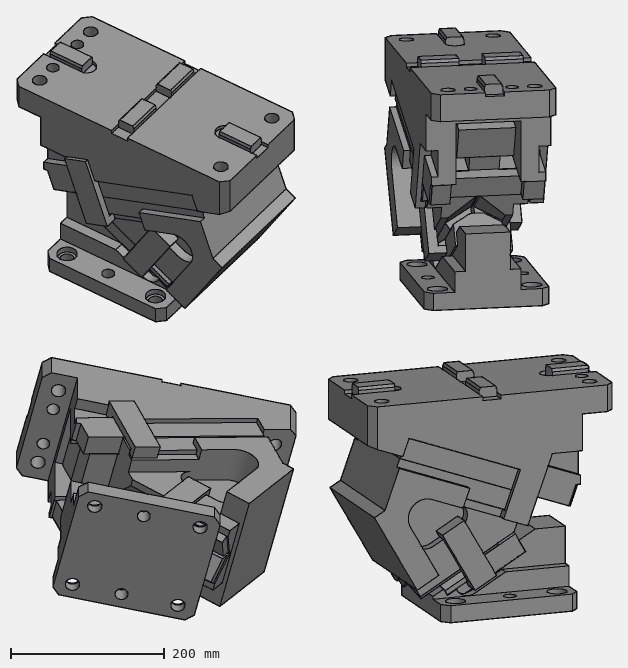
import cadquery as cq
import math


LARGE = 680.0

half_width = 82.5
corner_chamfer = 10.2
holder_angle = math.radians(20)
rail_angle = math.radians(30)

holder_length = 340.0
holder_top = 300.2
holder_lip_bottom = 264.2
holder_web_x = 45.0
holder_foot_z = 168.0
holder_foot_u = 102.7
holder_nose_v = 115.3
guide_v = 111.0
slide_end_u = 355.0
end_gap = 0.7

flange_half = 75.8
flange_top_v = 140.5
back_foot_half = 73.8
foot_step_length = 2.7
window_half = 67.0
window_top_z = 215.0
window_bottom_v = 153.7
channel_half = 48.5
channel_clearance = 1.0
cavity_half = 43.0
cavity_top = 249.5

strap_u = 155.0
strap_end_u = 190.7
strap_bottom_v = 72.0
strap_hook_v = 82.3
strap_top_v = 174.0
strap_hook_half = 69.5
front_strap_half = 87.5
front_strap_wall_half = 77.5
back_strap_half = half_width
back_strap_wall_half = flange_half

key_slot_width = 25.0
key_slot_depth = 5.0
key_slot_length = 72.8
key_height = 9.0
key_length = 50.3
key_inset = 10.2
key_clearance = 0.5
key_bevel_width = 1.7
key_bevel_height = 4.0
cross_slot_x = 170.7
cross_key_y = 42.5
holder_hole_inset = 25.5
holder_hole_y = 57.5
holder_hole_diameter = 18.7
dowel_y = 27.5
dowel_diameter = 16.3

slide_flange_half = 73.8
slide_flange_bottom_v = 83.0
slide_shoulder_half = window_half
slide_shoulder_v = 71.5
slide_core_half = 47.5
cheek_top_v = 99.0
cheek_start_u = 250.5
cheek_inner_p = 179.2
cheek_outer_p = 214.0
cheek_bottom_q = 179.2
cheek_top_q = 298.2
cheek_radius = 24.5
core_end_p = 208.0
core_bottom_q = 154.0
pocket_bottom_q = 202.3
pocket_depth = 13.5
pocket_left_radius = 18.0
pocket_low_radius = 20.0
tongue_u = 115.3
tongue_top_v = 141.8
tongue_bottom_v = 113.0
ridge_drop = 1.0
lug_u = 132.0
lug_end_u = 161.5
lug_half = 37.7
lug_bottom_v = 163.0
lug_top_v = 206.5
lug_neck_u = 133.5
lug_neck_half = 20.0
vee_half = 37.7
relief_half = 2.0
relief_depth = 2.7
liner_start_p = 81.5
liner_end_p = 206.0
liner_thickness = 11.2

rail_strap_p = 108.8
rail_strap_end_p = 143.5
rail_strap_bottom_q = 121.7
rail_strap_hook_q = 132.0
rail_strap_top_q = 212.0
front_rail_strap_half = 53.0
back_rail_strap_half = 58.0
rail_strap_wall_half = 45.0
rail_strap_hook_half = 34.0

base_left = 49.0
base_right = 238.5
base_thickness = 23.0
step_half = 44.0
step_top = 50.5
post_half = 29.5
post_top = 100.5
post_flat_end = 90.8
rail_half = 32.3
rail_start_p = 54.7
rail_bottom_q = 115.0
rail_ridge_half = 9.0
rail_flange_half = 42.0
rail_flange_start_p = 120.7
rail_end_p = 175.5
tail_top_q = 142.5
step_pocket_q = 112.5
step_pocket_end_p = 161.0
step_pocket_radius = 18.0
base_bolt_x = (72.8, 214.0)
base_dowel_x = 138.5
base_hole_y = 62.5
base_bolt_diameter = 18.5
counterbore_diameter = 26.2
counterbore_depth = 8.5
base_dowel_diameter = 16.5

holder_mid = holder_length / 2
vee_slope = math.tan(rail_angle)
vee_apex_q = core_bottom_q + vee_half * vee_slope
roof_apex_q = vee_apex_q - liner_thickness / math.cos(rail_angle)


def guide(u, v):
    """X, Z of a point u along and v above the inclined holder guide."""
    c, s = math.cos(holder_angle), math.sin(holder_angle)
    return (u * c - v * s, u * s + v * c)


def guide_at_height(u, z):
    """X, Z where the guide section at u reaches height z."""
    return ((u - z * math.sin(holder_angle)) / math.cos(holder_angle), z)


def rail(p, q):
    """X, Z of a point p along and q above the inclined base rail."""
    c, s = math.cos(rail_angle), math.sin(rail_angle)
    return (p * c + q * s, -p * s + q * c)


def guide_rail(v, q):
    """X, Z where the guide line at height v crosses the rail line at height q."""
    turn = holder_angle + rail_angle
    return guide((q - v * math.cos(turn)) / math.sin(turn), v)


def guide_rail_end(v, p):
    """X, Z where the guide line at height v crosses the rail section at p."""
    turn = holder_angle + rail_angle
    return guide((p + v * math.sin(turn)) / math.cos(turn), v)


def end_guide_rail(u, q):
    """X, Z where the guide section at u crosses the rail line at height q."""
    turn = holder_angle + rail_angle
    return guide(u, (q - u * math.sin(turn)) / math.cos(turn))


def prism(points, y_from, y_to):
    """An X-Z outline extruded from y_from to y_to."""
    return cq.Workplane("XZ", origin=(0, y_from, 0)).polyline(points).close().extrude(y_from - y_to)


def centred_prism(points, half):
    return prism(points, -half, half)


def both_sides(points, inner, outer):
    """The outline extruded from inner to outer on both sides of Y = 0."""
    return prism(points, inner, outer).union(prism(points, -outer, -inner))


def guide_box(u_from, u_to, v_from, v_to):
    return [guide(u_from, v_from), guide(u_to, v_from), guide(u_to, v_to), guide(u_from, v_to)]


def rail_box(p_from, p_to, q_from, q_to):
    return [rail(p_from, q_from), rail(p_to, q_from), rail(p_to, q_to), rail(p_from, q_to)]


def rail_section(points, p_from, p_to):
    """A Y-q cross-section extruded along the base rail."""
    x, z = rail(p_from, 0)
    direction = (math.cos(rail_angle), 0, -math.sin(rail_angle))
    plane = cq.Plane(origin=(x, 0, z), xDir=(0, 1, 0), normal=direction)
    return cq.Workplane(plane).polyline(points).close().extrude(p_to - p_from)


def mirrored_points(points):
    """A right-hand half profile completed with its mirror image."""
    return points + [(-y, q) for y, q in reversed(points)]


def vertical_hole(x, y, diameter, z_from, z_to):
    return cq.Workplane("XY", origin=(x, y, z_from)).circle(diameter / 2).extrude(z_to - z_from)


def holder_blank():
    nose_right_z = (holder_nose_v + holder_length * math.sin(holder_angle)) / math.cos(holder_angle)
    end_u = slide_end_u + end_gap
    outline = [
        (0, holder_top), (0, holder_lip_bottom),
        (holder_web_x, holder_lip_bottom), (holder_web_x, holder_foot_z),
        guide_at_height(holder_foot_u, holder_foot_z), guide(holder_foot_u, guide_v),
        guide(end_u, guide_v), guide(end_u, holder_nose_v),
        (holder_length, nose_right_z), (holder_length, holder_top),
    ]
    blank = centred_prism(outline, half_width)
    plan = (
        cq.Workplane("XY").rect(holder_length, 2 * half_width).extrude(LARGE)
        .edges("|Z").chamfer(corner_chamfer).translate((holder_mid, 0, 0))
    )
    return blank.intersect(plan)


def holder_side_recesses():
    end_u = slide_end_u + end_gap
    flange = both_sides(guide_box(0, end_u, 0, flange_top_v), flange_half, LARGE)
    flange = flange.union(
        both_sides(guide_box(0, strap_end_u, 0, window_bottom_v), flange_half, LARGE))
    window = both_sides(guide_box(0, strap_end_u, window_bottom_v, LARGE), window_half, LARGE)
    below_ceiling = cq.Workplane("XY").box(LARGE, 3 * LARGE, window_top_z, centered=(True, True, False))
    return flange.union(window.intersect(below_ceiling))


def holder_foot_steps():
    """End cuts that shorten the front foot and narrow the end of the back foot."""
    step_end_u = holder_foot_u + foot_step_length
    outline = [
        guide(holder_foot_u, guide_v), guide(step_end_u, guide_v),
        guide_at_height(step_end_u, holder_foot_z), guide_at_height(holder_foot_u, holder_foot_z),
    ]
    return prism(outline, -LARGE, 0).union(prism(outline, back_foot_half, LARGE))


def holder_channel():
    end_u = slide_end_u + end_gap
    return centred_prism(guide_box(0, end_u, 0, tongue_top_v + channel_clearance), channel_half)


def holder_cavity():
    """Wedge-shaped cavity with a level ceiling, open to the left and to the channel."""
    cavity = centred_prism(guide_box(0, slide_end_u + end_gap, 0, LARGE), cavity_half)
    room = cq.Workplane("XY").box(LARGE, LARGE, cavity_top, centered=(False, True, False))
    return cavity.intersect(room.translate((holder_web_x, 0, 0)))


def holder_strap(side, wall_inner, outer):
    """A strap with its root in the holder window and its hook under the slide flange."""
    strap = None
    for v_from, v_to, inner in (
        (strap_bottom_v, strap_hook_v, strap_hook_half),
        (strap_hook_v, window_bottom_v, wall_inner),
        (window_bottom_v, strap_top_v, window_half),
    ):
        y_from, y_to = sorted((side * inner, side * outer))
        piece = prism(guide_box(strap_u, strap_end_u, v_from, v_to), y_from, y_to)
        strap = piece if strap is None else strap.union(piece)
    return strap


def key(length):
    """A key along X, centred on the origin, standing on Z = 0 with a bevelled top."""
    half = key_slot_width / 2 - key_clearance
    height = key_slot_depth + key_height
    profile = [
        (-half, 0), (half, 0), (half, height - key_bevel_height), (half - key_bevel_width, height),
        (key_bevel_width - half, height), (-half, height - key_bevel_height),
    ]
    return cq.Workplane("YZ", origin=(-length / 2, 0, 0)).polyline(profile).close().extrude(length)


def holder_key_slots():
    z = holder_top - key_slot_depth
    slots = cq.Workplane("XY", origin=(cross_slot_x, 0, z)).rect(key_slot_width, LARGE).extrude(LARGE)
    for end_x in (0, holder_length):
        slots = slots.union(
            cq.Workplane("XY", origin=(end_x, 0, z)).slot2D(2 * key_slot_length, key_slot_width).extrude(LARGE))
    return slots


def holder_keys():
    z = holder_top - key_slot_depth
    end_key_x = key_inset + key_length / 2
    bar = key(key_length)
    cross_bar = bar.rotate((0, 0, 0), (0, 0, 1), 90)
    return [
        bar.translate((end_key_x, 0, z)),
        bar.translate((holder_length - end_key_x, 0, z)),
        cross_bar.translate((cross_slot_x, -cross_key_y, z)),
        cross_bar.translate((cross_slot_x, cross_key_y, z)),
    ]


def make_holder():
    body = holder_blank().cut(holder_side_recesses()).cut(holder_foot_steps())
    body = body.cut(holder_channel()).cut(holder_cavity()).cut(holder_key_slots())
    for side in (-1, 1):
        for x in (holder_hole_inset, holder_length - holder_hole_inset):
            body = body.cut(vertical_hole(x, side * holder_hole_y, holder_hole_diameter, 0, LARGE))
        body = body.cut(vertical_hole(holder_hole_inset, side * dowel_y, dowel_diameter, 0, LARGE))
    for bar in holder_keys():
        body = body.union(bar)
    body = body.union(holder_strap(-1, front_strap_wall_half, front_strap_half))
    return body.union(holder_strap(1, back_strap_wall_half, back_strap_half))


def slide_outline(top_v, start_u, bottom):
    """Slide outline below top_v; bottom lists its lower points from right to left."""
    step_v = (cheek_top_q - slide_end_u * math.sin(holder_angle + rail_angle)) / math.cos(
        holder_angle + rail_angle)
    return [guide(start_u, top_v), guide(slide_end_u, top_v), guide(slide_end_u, step_v)] + bottom


def slide_core():
    core = slide_outline(guide_v, strap_u, [
        rail(core_end_p, cheek_top_q), rail(core_end_p, core_bottom_q),
        end_guide_rail(strap_u, core_bottom_q),
    ])
    return centred_prism(core, slide_core_half)


def slide_flanges():
    flange = guide_box(strap_u, slide_end_u, slide_flange_bottom_v, guide_v)
    shoulder = guide_box(strap_u, slide_end_u, slide_shoulder_v, slide_flange_bottom_v)
    return centred_prism(flange, slide_flange_half).union(centred_prism(shoulder, slide_shoulder_half))


def slide_cheeks():
    """The wide hooked end of the slide, with a rounded inner corner."""
    outline = slide_outline(cheek_top_v, cheek_start_u, [
        rail(cheek_outer_p, cheek_top_q), rail(cheek_outer_p, cheek_bottom_q),
        rail(cheek_inner_p, cheek_bottom_q), guide_rail_end(slide_shoulder_v, cheek_inner_p),
        guide(cheek_start_u, slide_shoulder_v),
    ])
    inner_corner = guide_rail_end(slide_shoulder_v, cheek_inner_p)
    return centred_prism(outline, half_width).edges(
        cq.selectors.NearestToPointSelector((inner_corner[0], 0, inner_corner[1]))
    ).fillet(cheek_radius)


def slide_pocket(side):
    """A shallow three-cornered pocket with rounded corners in one side of the core."""
    left = guide_rail(slide_shoulder_v, pocket_bottom_q)
    top = guide_rail_end(slide_shoulder_v, cheek_inner_p)
    low = rail(cheek_inner_p, pocket_bottom_q)
    y_from, y_to = sorted((side * (slide_core_half - pocket_depth), side * slide_core_half))
    pocket = prism([left, low, top], y_from, y_to)
    for corner, radius in ((left, pocket_left_radius), (low, pocket_low_radius), (top, cheek_radius)):
        pocket = pocket.edges(
            cq.selectors.NearestToPointSelector((corner[0], (y_from + y_to) / 2, corner[1]))
        ).fillet(radius)
    return pocket


def slide_tongue():
    """Ridge in the holder channel that overhangs the left end of the slide."""
    overhang = guide_box(tongue_u, strap_u, tongue_bottom_v, tongue_top_v - ridge_drop)
    lip = guide_box(tongue_u, lug_neck_u, tongue_bottom_v, tongue_top_v)
    ridge = guide_box(strap_u, slide_end_u, guide_v, tongue_top_v - ridge_drop)
    tongue = centred_prism(overhang, slide_core_half).union(centred_prism(lip, slide_core_half))
    return tongue.union(centred_prism(ridge, slide_core_half))


def slide_lug():
    """T-shaped lug that stands on the ridge inside the holder cavity."""
    neck = guide_box(lug_neck_u, lug_end_u, tongue_bottom_v, lug_bottom_v)
    head = guide_box(lug_u, lug_end_u, lug_bottom_v, lug_top_v)
    return centred_prism(neck, lug_neck_half).union(centred_prism(head, lug_half))


def slide_vee():
    """Roof-shaped groove in the underside, with a relief slot at its apex."""
    vee = [(-vee_half, core_bottom_q), (0, vee_apex_q), (vee_half, core_bottom_q)]
    relief_top = vee_apex_q + relief_depth
    relief = mirrored_points([(relief_half, core_bottom_q), (relief_half, relief_top)])
    return rail_section(vee, -LARGE, LARGE).union(rail_section(relief, -LARGE, LARGE))


def slide_liner(side):
    """Wear liner on one flank of the vee."""
    tip_y = vee_half - liner_thickness * math.sin(rail_angle)
    profile = [
        (relief_half, vee_apex_q - relief_half * vee_slope),
        (vee_half, core_bottom_q),
        (tip_y, roof_apex_q - tip_y * vee_slope),
        (relief_half, roof_apex_q - relief_half * vee_slope),
    ]
    return rail_section([(side * y, q) for y, q in profile], liner_start_p, liner_end_p)


def slide_strap(side, outer):
    """A strap rooted in the side pocket of the slide with its hook under the base rail flange."""
    pocket_floor = slide_core_half - pocket_depth
    profile = [
        (outer, rail_strap_bottom_q), (outer, rail_strap_top_q),
        (pocket_floor, rail_strap_top_q), (pocket_floor, pocket_bottom_q),
        (slide_core_half, pocket_bottom_q), (slide_core_half, core_bottom_q),
        (rail_strap_wall_half, core_bottom_q), (rail_strap_wall_half, rail_strap_hook_q),
        (rail_strap_hook_half, rail_strap_hook_q), (rail_strap_hook_half, rail_strap_bottom_q),
    ]
    return rail_section([(side * y, q) for y, q in profile], rail_strap_p, rail_strap_end_p)


def make_slide():
    body = slide_core().union(slide_flanges()).cut(slide_vee())
    body = body.union(slide_cheeks()).union(slide_tongue()).union(slide_lug())
    for side, strap_half in ((-1, front_rail_strap_half), (1, back_rail_strap_half)):
        body = body.cut(slide_pocket(side)).union(slide_liner(side)).union(slide_strap(side, strap_half))
    return body


def base_plate():
    length = base_right - base_left
    middle = (base_left + base_right) / 2
    plate = (
        cq.Workplane("XY").rect(length, 2 * half_width).extrude(base_thickness)
        .edges("|Z").chamfer(corner_chamfer).translate((middle, 0, 0))
    )
    bore_z = base_thickness - counterbore_depth
    for y in (-base_hole_y, base_hole_y):
        plate = plate.cut(vertical_hole(base_dowel_x, y, base_dowel_diameter, 0, base_thickness))
        for x in base_bolt_x:
            plate = plate.cut(vertical_hole(x, y, base_bolt_diameter, 0, base_thickness))
            plate = plate.cut(vertical_hole(x, y, counterbore_diameter, bore_z, base_thickness))
    return plate


def base_step():
    """Wide lower step, cut away along the slope to clear the hooks of the slide."""
    step = centred_prism(
        [(base_left, 0), (base_right, 0), (base_right, step_top), (base_left, step_top)], step_half)
    clearance = prism(rail_box(-LARGE, step_pocket_end_p, step_pocket_q, LARGE), -LARGE, LARGE)
    corner = rail(step_pocket_end_p, step_pocket_q)
    clearance = clearance.edges(
        cq.selectors.NearestToPointSelector((corner[0], 0, corner[1]))).fillet(step_pocket_radius)
    under_flange = centred_prism(rail_box(0, rail_end_p, rail_strap_hook_q, LARGE), LARGE)
    above_tail = centred_prism(rail_box(0, LARGE, tail_top_q, LARGE), LARGE)
    return step.cut(clearance).cut(under_flange).cut(above_tail)


def base_post():
    slope_q = post_flat_end * math.sin(rail_angle) + post_top * math.cos(rail_angle)
    foot_x = (slope_q - base_thickness * math.cos(rail_angle)) / math.sin(rail_angle)
    outline = [
        (base_left, 0), (base_left, post_top), (post_flat_end, post_top),
        (foot_x, base_thickness), (foot_x, 0),
    ]
    return centred_prism(outline, post_half)


def roof_profile(half, bottom_q):
    """Flat-topped roof section of the given half-width."""
    return mirrored_points([
        (half, bottom_q), (half, roof_apex_q - half * vee_slope),
        (rail_ridge_half, roof_apex_q - rail_ridge_half * vee_slope),
    ])


def base_rail():
    ridge = rail_section(roof_profile(rail_half, rail_bottom_q), rail_start_p, rail_end_p)
    flange = rail_section(
        roof_profile(rail_flange_half, rail_strap_hook_q), rail_flange_start_p, rail_end_p)
    return ridge.union(flange)


def make_base():
    return base_plate().union(base_step()).union(base_post()).union(base_rail())


holder = make_holder()
slide = make_slide()
base = make_base()
result = cq.Compound.makeCompound([holder.val(), slide.val(), base.val()])